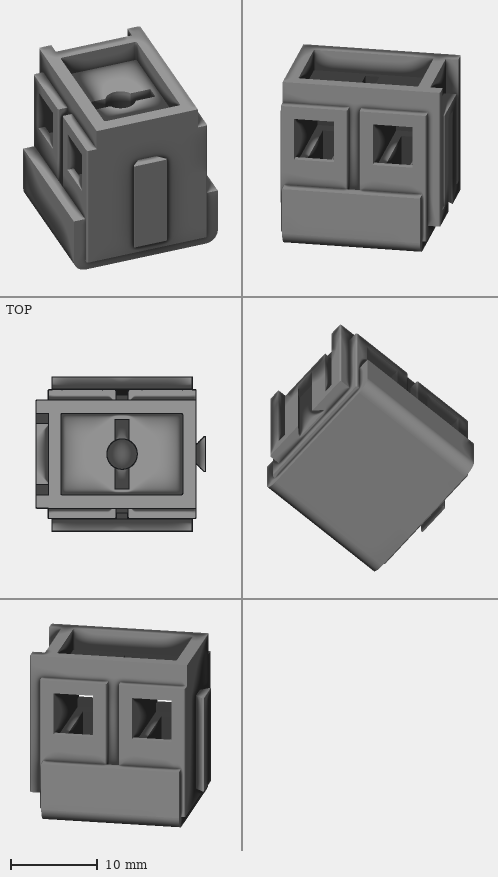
import math

import cadquery as cq

TOTAL_LENGTH = 19.6
TOTAL_WIDTH = 17.8
TOTAL_HEIGHT = 19.2

CORE_LENGTH = 18.5
CORE_WIDTH = 12.5
CORE_BOTTOM = 2.7
EDGE_RADIUS = 0.2
BASE_START = 1.41
BASE_LENGTH = CORE_LENGTH - BASE_START
MID_X = BASE_START + BASE_LENGTH / 2

PANELS_WIDTH = 14.9
PANEL_TOP = TOTAL_HEIGHT - 2.5
PANEL_GAP = 1.41
PANEL_LENGTH = (BASE_LENGTH - PANEL_GAP) / 2

WINDOW_LENGTH = 4.68
WINDOW_HEIGHT = 5.0
WINDOW_TOP = TOTAL_HEIGHT - 4.0
WINDOW_BOTTOM = WINDOW_TOP - WINDOW_HEIGHT
CHAMBER_SPACING = 9.23
SILL_THICKNESS = 0.8
SILL_HEIGHT = 1.0
WELL_LENGTH = 2.8
WELL_WIDTH = 10

POCKET_LENGTH = 14.07
POCKET_WIDTH = 9.4
POCKET_DEPTH = 2.5
POCKET_START = 2.88
POCKET_RADIUS = 0.2
HOLE_DIAMETER = 3.5
HOLE_DEPTH = 4.0
SLOT_DEPTH = 3.0
SLOT_LENGTH = 8.0
SLOT_WIDTH = 1.65

END_RECESS_DEPTH = 1.47
END_RECESS_BOTTOM = TOTAL_HEIGHT - 15.0
PLATE_WIDTH = 7.05
PLATE_TOP = TOTAL_HEIGHT - 3.8
DOVETAIL_DEPTH = TOTAL_LENGTH - CORE_LENGTH
DOVETAIL_LIP = 0.2
DOVETAIL_FLARE = DOVETAIL_DEPTH - DOVETAIL_LIP
GROOVE_MOUTH = 2.49
GROOVE_TOP = TOTAL_HEIGHT - 5.0
RAIL_ROOT = 2.21
RAIL_TOP = TOTAL_HEIGHT - 5.25

CLIP_LENGTH = 16.19
CLIP_HEIGHT = 7.02
CLIP_INNER_WIDTH = 15.0
CLIP_FLOOR = 1.2
CLIP_RADIUS = 1.5
LUG_LENGTH = 1.3
LUG_DEPTH = 0.7
LUG_RADIUS = 1.0
LUG_SLOPE = math.radians(60)


def block(x_start, length, width, z_bottom, z_top):
    """Box centred on Y = 0 that starts at x_start."""
    return (
        cq.Workplane("XY")
        .box(length, width, z_top - z_bottom, centered=(False, True, False))
        .translate((x_start, 0, z_bottom))
    )


def centred_block(x_centre, length, width, z_bottom, z_top):
    """Box centred on Y = 0 and on x_centre."""
    return block(x_centre - length / 2, length, width, z_bottom, z_top)


def dovetail(x_root, root_width, z_top):
    """Upright prism whose sides flare out at 45 degrees toward +X, then run straight along a short lip."""
    root = root_width / 2
    tip = root + DOVETAIL_FLARE
    x_flared = x_root + DOVETAIL_FLARE
    x_end = x_root + DOVETAIL_DEPTH
    return (
        cq.Workplane("XY", origin=(0, 0, CORE_BOTTOM))
        .polyline([
            (x_root, -root),
            (x_flared, -tip),
            (x_end, -tip),
            (x_end, tip),
            (x_flared, tip),
            (x_root, root),
        ])
        .close()
        .extrude(z_top - CORE_BOTTOM)
    )


def make_shell():
    """Core, its lower base and the four side panels, before any cuts."""
    core = block(0, CORE_LENGTH, CORE_WIDTH, CORE_BOTTOM, TOTAL_HEIGHT)
    core = core.edges("|Z and <X").fillet(EDGE_RADIUS)
    shell = core.union(block(BASE_START, BASE_LENGTH, CORE_WIDTH, CLIP_FLOOR, TOTAL_HEIGHT))
    for panel_start in (BASE_START, CORE_LENGTH - PANEL_LENGTH):
        panels = block(panel_start, PANEL_LENGTH, PANELS_WIDTH, CLIP_FLOOR, PANEL_TOP)
        shell = shell.union(panels.edges("|Z").fillet(EDGE_RADIUS))
    return shell


def make_pocket():
    """Top pocket with a round hole and a cross slot in its floor."""
    floor = TOTAL_HEIGHT - POCKET_DEPTH
    pocket = block(POCKET_START, POCKET_LENGTH, POCKET_WIDTH, floor, TOTAL_HEIGHT)
    pocket = pocket.edges("|Z").fillet(POCKET_RADIUS)
    hole = (
        cq.Workplane("XY", origin=(MID_X, 0, floor - HOLE_DEPTH))
        .circle(HOLE_DIAMETER / 2)
        .extrude(HOLE_DEPTH)
    )
    slot = centred_block(MID_X, SLOT_WIDTH, SLOT_LENGTH, floor - SLOT_DEPTH, floor)
    return pocket.union(hole).union(slot)


def make_chamber(x_centre):
    """Window through both sides, a lowered floor between the sills, and a well to the base."""
    floor = WINDOW_BOTTOM - SILL_HEIGHT
    window = centred_block(x_centre, WINDOW_LENGTH, PANELS_WIDTH, WINDOW_BOTTOM, WINDOW_TOP)
    inner_width = PANELS_WIDTH - 2 * SILL_THICKNESS
    lowered = centred_block(x_centre, WINDOW_LENGTH, inner_width, floor, WINDOW_BOTTOM)
    well = centred_block(x_centre, WELL_LENGTH, WELL_WIDTH, CLIP_FLOOR, floor)
    return window.union(lowered).union(well)


def make_end_recess():
    """U-shaped recess in the -X end that leaves a central plate standing."""
    recess = block(0, END_RECESS_DEPTH, POCKET_WIDTH, END_RECESS_BOTTOM, TOTAL_HEIGHT)
    return recess.cut(block(0, END_RECESS_DEPTH, PLATE_WIDTH, END_RECESS_BOTTOM, PLATE_TOP))


def make_housing():
    groove = dovetail(0, GROOVE_MOUTH, GROOVE_TOP)
    rail = dovetail(CORE_LENGTH, RAIL_ROOT, RAIL_TOP)
    housing = make_shell().cut(make_pocket()).cut(make_end_recess()).cut(groove)
    for side in (-1, 1):
        housing = housing.cut(make_chamber(MID_X + side * CHAMBER_SPACING / 2))
    return housing.union(rail)


def make_lug():
    """Lug on the +Y wall of the clip: a ramp from the wall's top edge, rounded into an upright face."""
    wall = CLIP_INNER_WIDTH / 2
    nose = wall - LUG_DEPTH
    ramp_end = nose + LUG_RADIUS * (1 - math.sin(LUG_SLOPE))
    ramp_bottom = CLIP_HEIGHT - (wall - ramp_end) * math.tan(LUG_SLOPE)
    nose_top = ramp_bottom - LUG_RADIUS * math.cos(LUG_SLOPE)
    return (
        cq.Workplane("YZ", origin=(MID_X - LUG_LENGTH / 2, 0, 0))
        .moveTo(wall, CLIP_HEIGHT)
        .lineTo(ramp_end, ramp_bottom)
        .tangentArcPoint((nose, nose_top), relative=False)
        .lineTo(nose, CLIP_FLOOR)
        .lineTo(wall, CLIP_FLOOR)
        .close()
        .extrude(LUG_LENGTH)
    )


def make_clip():
    clip = centred_block(MID_X, CLIP_LENGTH, TOTAL_WIDTH, 0, CLIP_HEIGHT)
    clip = clip.edges("|X and <Z").fillet(CLIP_RADIUS)
    clip = clip.cut(centred_block(MID_X, CLIP_LENGTH, CLIP_INNER_WIDTH, CLIP_FLOOR, CLIP_HEIGHT))
    lug = make_lug()
    return clip.union(lug).union(lug.mirror("XZ"))


housing = make_housing()
clip = make_clip()

result = cq.Compound.makeCompound([housing.val(), clip.val()])